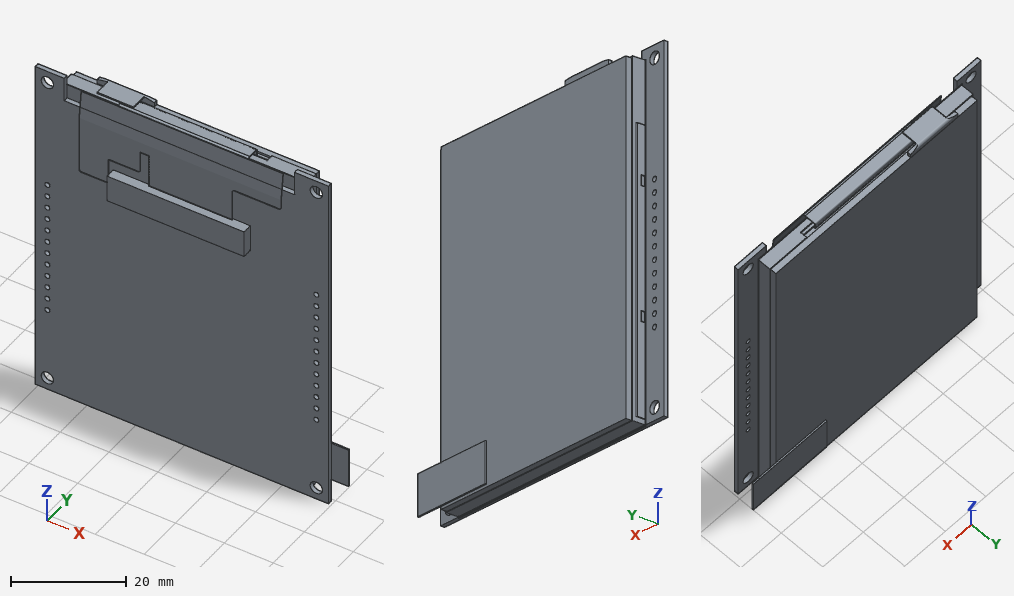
import cadquery as cq
import math


board_width = 60.05
board_height = 71.1
board_thickness = 0.9
notch_left = -24.05
notch_right = 23.05
notch_bottom_z = board_height - 5.0
hole_inset = 2.5
corner_hole_diameter = 2.5
pin_hole_diameter = 1.0
pin_hole_count = 12
pin_row_length = 28.0
pin_hole_pitch = pin_row_length / (pin_hole_count - 1)
lowest_pin_hole_z = 17.7

connector_width = 28.05
connector_height = 5.5
connector_depth = 2.0
connector_bottom_z = 49.6
connector_top_z = connector_bottom_z + connector_height

tray_left = -25.3
tray_right = 25.05
tray_bottom_z = -0.3
tray_sheet = 0.15
tray_sheet_back_y = board_thickness + tray_sheet
flange_thickness = 0.2
flange_bottom_z = 1.0
flange_top_z = 56.6
flange_back_y = 3.1
flange_rim_chamfer = 0.15

frame_left = tray_left + flange_thickness
frame_right = 25.1
frame_top_z = 69.05
frame_back_y = 3.8
pocket_half_width = 16.0
pocket_front_y = 2.3
pocket_depth = 0.7
pocket_ledge_back_y = 2.85
pocket_ledge_depth = 0.35

latch_front_y = 1.15
latch_back_y = 2.0
latch_height = 2.0
latch_rise = 0.15
latch_centre_zs = (20.3, 46.0)

panel_left = -24.8
panel_right = 24.9
panel_bottom_z = 0.15
panel_top_z = 68.75
panel_back_y = 5.1

tab_left = 12.65
tab_right = 30.85
tab_bottom_z = 0.7
tab_height = 8.15
tab_thickness = 0.335

cable_thickness = 0.18
cable_left = -20.8
cable_right = 20.55
cable_front_y = -0.4
cable_back_y = cable_front_y + cable_thickness
cable_fold_z = 64.05
cable_slope_top_y = 0.2
cable_slope_top_z = 69.55
cable_corner_radius = 0.5
pad_right = -14.8
pad_bottom_z = 52.05
step_z = 57.3
slit_left = -8.3
tail_left = -6.5
tail_right = 10.6
shoulder_z = 61.8
strip_left = -13.3
strip_right = 13.35
strip_top_z = 69.75
strip_back_y = 3.3
strip_bend_radius = 0.3
strip_crest_y = 0.85

touch_left = -17.9
touch_right = -10.5
touch_flare = 2.15
touch_flare_z = 69.7
touch_top_z = 70.1
touch_thickness = 0.3
touch_root_depth = 0.8
touch_bend_radius = 0.5


def block(x0, x1, y0, y1, z0, z1):
    """Rectangular block given by its limits along X, Y and Z."""
    return cq.Workplane("XY").box(x1 - x0, y1 - y0, z1 - z0, centered=False).translate((x0, y0, z0))


def round_holes(centres, diameter):
    """Cutters for holes through the board at the given (x, z) centres."""
    return (
        cq.Workplane("XZ")
        .pushPoints(centres)
        .circle(diameter / 2)
        .extrude(-board_thickness)
    )


def make_board():
    half_width = board_width / 2
    board = block(-half_width, half_width, 0, board_thickness, 0, board_height)
    notch = block(notch_left, notch_right, 0, board_thickness, notch_bottom_z, board_height)
    hole_xs = (hole_inset - half_width, half_width - hole_inset)
    hole_zs = (hole_inset, board_height - hole_inset)
    pin_zs = [lowest_pin_hole_z + i * pin_hole_pitch for i in range(pin_hole_count)]
    corner_holes = round_holes([(x, z) for x in hole_xs for z in hole_zs], corner_hole_diameter)
    pin_holes = round_holes([(x, z) for x in hole_xs for z in pin_zs], pin_hole_diameter)
    return board.cut(notch).cut(corner_holes).cut(pin_holes)


def make_connector():
    half_width = connector_width / 2
    return block(-half_width, half_width, -connector_depth, 0, connector_bottom_z, connector_top_z)


def make_tray():
    sheet = block(tray_left, tray_right, board_thickness, tray_sheet_back_y, tray_bottom_z, frame_top_z)
    flange = block(
        tray_left, frame_left, board_thickness, flange_back_y, flange_bottom_z, flange_top_z
    )
    flange = flange.edges("<X and >Y").chamfer(flange_rim_chamfer)
    tray = sheet.union(flange)
    for z in latch_centre_zs:
        window = block(
            tray_left, frame_left, latch_front_y, latch_back_y, z - latch_height / 2, z + latch_height / 2
        )
        tray = tray.cut(window)
    return tray


def make_latch(centre_z):
    """Wedge that slopes out from the left side of the frame towards the back."""
    return (
        cq.Workplane("XY")
        .polyline([
            (frame_left, latch_front_y),
            (frame_left, latch_back_y),
            (frame_left - latch_rise, latch_back_y),
        ])
        .close()
        .extrude(latch_height)
        .translate((0, 0, centre_z - latch_height / 2))
    )


def make_frame():
    frame = block(frame_left, frame_right, tray_sheet_back_y, frame_back_y, 0, frame_top_z)
    pocket = block(
        -pocket_half_width, pocket_half_width, pocket_front_y, frame_back_y,
        frame_top_z - pocket_depth, frame_top_z
    )
    ledge = block(
        -pocket_half_width, pocket_half_width, pocket_front_y, pocket_ledge_back_y,
        frame_top_z - pocket_depth, frame_top_z - pocket_ledge_depth
    )
    frame = frame.cut(pocket).union(ledge)
    for z in latch_centre_zs:
        frame = frame.union(make_latch(z))
    return frame


def make_panel():
    return block(panel_left, panel_right, frame_back_y, panel_back_y, panel_bottom_z, panel_top_z)


def make_tab():
    tab_top_z = tab_bottom_z + tab_height
    return block(tab_left, tab_right, panel_back_y, panel_back_y + tab_thickness, tab_bottom_z, tab_top_z)


def make_cable_slope():
    """Full-width stretch of the display cable that leans through the notch in the board."""
    return (
        cq.Workplane("YZ")
        .polyline([
            (cable_front_y, cable_fold_z),
            (cable_slope_top_y, cable_slope_top_z),
            (cable_slope_top_y + cable_thickness, cable_slope_top_z),
            (cable_back_y, cable_fold_z),
        ])
        .close()
        .extrude(cable_right - cable_left)
        .translate((cable_left, 0, 0))
    )


def make_cable_flat():
    """Stretch of the display cable in front of the board, with a side pad and a tail to the connector."""
    flat = (
        cq.Workplane("XZ", origin=(0, cable_back_y, 0))
        .polyline([
            (cable_left, cable_fold_z),
            (cable_left, pad_bottom_z),
            (pad_right, pad_bottom_z),
            (pad_right, step_z),
            (slit_left, step_z),
            (slit_left, shoulder_z),
            (tail_left, shoulder_z),
            (tail_left, connector_top_z),
            (tail_right, connector_top_z),
            (tail_right, shoulder_z),
            (cable_right, shoulder_z),
            (cable_right, cable_fold_z),
        ])
        .close()
        .extrude(cable_thickness)
    )
    rounded_corners = (
        (cable_left, pad_bottom_z),
        (pad_right, pad_bottom_z),
        (slit_left, step_z),
        (tail_right, shoulder_z),
        (cable_right, shoulder_z),
    )
    for x, z in rounded_corners:
        corner = cq.NearestToPointSelector((x, cable_back_y - cable_thickness / 2, z))
        flat = flat.edges("|Y").edges(corner).fillet(cable_corner_radius)
    return flat


def make_cable_strip():
    """Narrow stretch of the display cable that rises from the frame pocket and bends forward."""
    inner_radius = strip_bend_radius - cable_thickness
    foot_z = frame_top_z - pocket_depth
    bend_y = strip_back_y - strip_bend_radius
    bend_z = strip_top_z - strip_bend_radius
    diagonal = math.sqrt(0.5)
    return (
        cq.Workplane("YZ")
        .moveTo(strip_back_y, foot_z)
        .lineTo(strip_back_y, bend_z)
        .threePointArc(
            (bend_y + strip_bend_radius * diagonal, bend_z + strip_bend_radius * diagonal),
            (bend_y, strip_top_z),
        )
        .lineTo(strip_crest_y, strip_top_z)
        .lineTo(cable_slope_top_y, cable_slope_top_z)
        .lineTo(cable_slope_top_y + cable_thickness, cable_slope_top_z)
        .lineTo(strip_crest_y, strip_top_z - cable_thickness)
        .lineTo(bend_y, strip_top_z - cable_thickness)
        .threePointArc(
            (bend_y + inner_radius * diagonal, bend_z + inner_radius * diagonal),
            (strip_back_y - cable_thickness, bend_z),
        )
        .lineTo(strip_back_y - cable_thickness, foot_z)
        .close()
        .extrude(strip_right - strip_left)
        .translate((strip_left, 0, 0))
    )


def make_display_cable():
    """Flexible sheet from the frame pocket, over the top and through the notch to the connector."""
    return make_cable_slope().union(make_cable_flat()).union(make_cable_strip())


def make_touch_cable():
    """Flat strip running forward from a flared, rounded root that stands on the touch panel."""
    root_left = touch_left - touch_flare
    root_right = touch_right + touch_flare
    root_front_y = panel_back_y - touch_root_depth
    root = (
        cq.Workplane("XZ", origin=(0, root_front_y, 0))
        .polyline([
            (root_left, panel_top_z),
            (root_left, touch_flare_z),
            (touch_left, touch_top_z),
            (touch_right, touch_top_z),
            (root_right, touch_flare_z),
            (root_right, panel_top_z),
        ])
        .close()
        .extrude(-touch_root_depth)
    )
    rounded_block = (
        block(root_left, root_right, root_front_y, panel_back_y, panel_top_z, touch_top_z)
        .edges(">Y and >Z")
        .fillet(touch_bend_radius)
    )
    strip = block(
        touch_left, touch_right, board_thickness, root_front_y, touch_top_z - touch_thickness, touch_top_z
    )
    return root.intersect(rounded_block).union(strip)


board = make_board()
connector = make_connector()
tray = make_tray()
frame = make_frame()
panel = make_panel()
tab = make_tab()
display_cable = make_display_cable()
touch_cable = make_touch_cable()

result = cq.Compound.makeCompound([
    board.val(),
    connector.val(),
    tray.val(),
    frame.val(),
    panel.val(),
    tab.val(),
    display_cable.val(),
    touch_cable.val(),
])